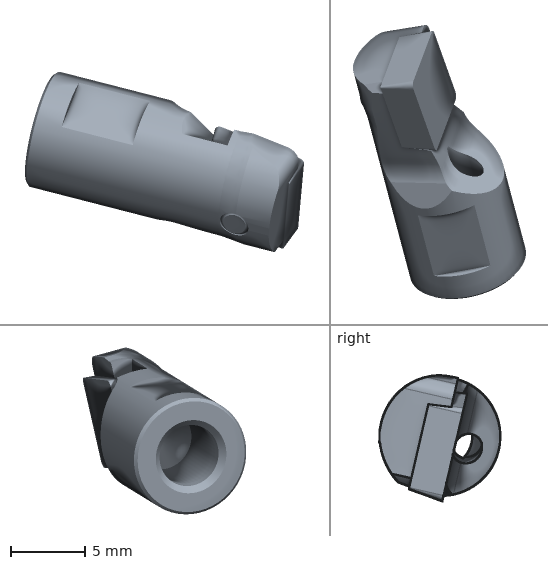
import cadquery as cq
import math

LENGTH = 18.0
FAR = 27.0

SHANK_R = 4.0
REAR_CHAMFER = 0.2
FLAT_START = 2.0
FLAT_LENGTH = 5.0
FLAT_HEIGHT = 3.5

BORE_R = 4.2 / 2
BORE_MOUTH_R = 5.02 / 2
BORE_DEPTH = 6.0
DRILL_POINT_ANGLE = 118.0
COOLANT_R = 2.0 / 2
COOLANT_START = (5.4, 1.76, -0.38)
COOLANT_LENGTH = 5.4
COOLANT_DROP_ANGLE = 8.0

HEAD_START = 13.68
HEAD_CONE_END = 14.89
HEAD_R = 4.12
HEAD_FLAT_TOP = 0.95
HEAD_FLAT_BOTTOM = (-4.14, 0.32)
HEAD_BELLY_MIDDLE = (-3.7, -1.84)
HEAD_BELLY_END = (-2.54, -3.4)

INSERT_LEAN = 13.0
INSERT_RELIEF = 7.0
INSERT_ANGLE = 80.0
INSCRIBED_DIA = 6.35
INSERT_THICKNESS = 2.38
INSERT_CORNER_R = 0.4
TIP_Y = 0.07
TIP_Z = -4.43

SCREW_R = 2.05 / 2
SCREW_CHAMFER = 0.23
SCREW_END_Y = -3.98

END_CLEARANCE = 0.07
FLANK_CLEARANCE = 0.09
NOSE_CHAMFER = 1.12
TOP_HEIGHT = 1.35
TOP_CORNER_R = 1.08

RAKE_RAMP_TOP = (5.04, 5.4)
RAKE_RAMP_END = (8.7, 0.63)
RAKE_ROUND_MIDDLE = (9.27, 0.16)
RAKE_FLOOR_START = (9.9, -0.05)
RAKE_FLOOR_DEPTH = -0.65
HEAD_FRONT_DEPTH = -0.83

FLANK_RAMP_BOTTOM = (5.58, -0.9)
FLANK_RAMP_END = (9.18, 0.94)
FLANK_ROUND_END_X = 10.8

NOTCH_FLOOR_TOP = (9.0, 8.77)
NOTCH_FLOOR_END = (11.79, 6.9)
NOTCH_FRONT_X = 13.2
NOTCH_SIDE_Y = -0.38

LEAN = math.radians(INSERT_LEAN)
EDGE_ANGLE = math.radians(90 - INSERT_ANGLE)
EDGE_SLOPE = math.tan(EDGE_ANGLE)
INSERT_SIDE = INSCRIBED_DIA / math.cos(EDGE_ANGLE)
INSERT_RUN = INSCRIBED_DIA
INSERT_RISE = INSERT_RUN * EDGE_SLOPE
INSERT_CENTRE = (-INSERT_RUN / 2, (INSERT_RISE + INSERT_SIDE) / 2)

RAKE = cq.Plane(
    origin=(LENGTH, TIP_Y, TIP_Z),
    xDir=(1, 0, 0),
    normal=(0, -math.cos(LEAN), math.sin(LEAN)),
)


def from_tip(point):
    """Turn (X, height) into coordinates of the rake plane."""
    x, height = point
    return (x - LENGTH, height)


def through_prism(profile):
    """Extrude a closed profile a long way to both sides of its plane."""
    return profile.extrude(FAR, both=True)



def insert_blank(corner_radius):
    """Tapered rhombus; the corner radius, if any, shrinks with the outline towards the back."""
    outline = cq.Sketch().polygon([
        (0, 0),
        (0, INSERT_SIDE),
        (-INSERT_RUN, INSERT_SIDE + INSERT_RISE),
        (-INSERT_RUN, INSERT_RISE),
        (0, 0),
    ])
    if corner_radius:
        outline = outline.vertices().fillet(corner_radius)
    return cq.Workplane(RAKE).placeSketch(outline).extrude(INSERT_THICKNESS, taper=INSERT_RELIEF)


def screw_cylinder(length):
    """Cylinder through the insert centre, square to the rake face."""
    return cq.Workplane(RAKE).center(*INSERT_CENTRE).circle(SCREW_R).extrude(length)


def make_insert():
    return insert_blank(INSERT_CORNER_R).cut(screw_cylinder(FAR))



def make_screw():
    start_y = RAKE.toWorldCoords(INSERT_CENTRE).y
    length = (start_y - SCREW_END_Y) / math.cos(LEAN)
    return screw_cylinder(length).faces("<Y").chamfer(SCREW_CHAMFER)



def turned_outside():
    """Shank with a rear chamfer, then a cone flaring out through the head."""
    flare = (HEAD_R - SHANK_R) / (HEAD_CONE_END - HEAD_START)
    return (
        cq.Workplane("XY")
        .moveTo(0, 0)
        .lineTo(0, SHANK_R - REAR_CHAMFER)
        .lineTo(REAR_CHAMFER, SHANK_R)
        .lineTo(HEAD_START, SHANK_R)
        .lineTo(LENGTH, SHANK_R + flare * (LENGTH - HEAD_START))
        .lineTo(LENGTH, 0)
        .close()
        .revolve(360, (0, 0, 0), (1, 0, 0))
    )


def head_section():
    """Prism that trims the cone: round top, small flat on the -Y side, fuller belly below it."""
    flat_top_y = -math.sqrt(HEAD_R ** 2 - HEAD_FLAT_TOP ** 2)
    diagonal = HEAD_R * math.sqrt(0.5)
    return (
        cq.Workplane("YZ")
        .moveTo(0, -HEAD_R)
        .threePointArc((HEAD_R, 0), (0, HEAD_R))
        .threePointArc((-diagonal, diagonal), (flat_top_y, HEAD_FLAT_TOP))
        .lineTo(*HEAD_FLAT_BOTTOM)
        .threePointArc(HEAD_BELLY_MIDDLE, HEAD_BELLY_END)
        .close()
        .extrude(LENGTH)
    )


def holder_outside():
    shank_section = cq.Workplane("YZ").circle(SHANK_R).extrude(HEAD_START)
    return turned_outside().intersect(head_section().union(shank_section))


def nose_envelope():
    """Prism bounding the head by its top face, rounded corner, end face and lower chamfer."""
    plane = RAKE.rotated((0, -INSERT_RELIEF, 0))
    corner_y = INSERT_SIDE + TOP_HEIGHT
    half_corner_angle = (math.pi / 2 + EDGE_ANGLE) / 2
    tangent = TOP_CORNER_R / math.tan(half_corner_angle)
    round_end = (-END_CLEARANCE - tangent * math.cos(EDGE_ANGLE),
                 corner_y + tangent * math.sin(EDGE_ANGLE))
    return through_prism(
        cq.Workplane(plane)
        .moveTo(-END_CLEARANCE, NOSE_CHAMFER)
        .lineTo(-END_CLEARANCE, corner_y - tangent)
        .tangentArcPoint(round_end, relative=False)
        .lineTo(-FAR, corner_y + (FAR - END_CLEARANCE) * EDGE_SLOPE)
        .lineTo(-FAR, NOSE_CHAMFER + END_CLEARANCE - FAR)
        .close()
    )


def wrench_flat(side):
    centre = (FLAT_START + FLAT_LENGTH / 2, 0, side * (FLAT_HEIGHT + FAR / 2))
    return cq.Workplane("XY").box(FLAT_LENGTH, FAR, FAR).translate(centre)


def rear_bore():
    point_length = BORE_R / math.tan(math.radians(DRILL_POINT_ANGLE / 2))
    return (
        cq.Workplane("XY")
        .polyline([
            (0, 0),
            (0, BORE_MOUTH_R),
            (BORE_MOUTH_R - BORE_R, BORE_R),
            (BORE_DEPTH, BORE_R),
            (BORE_DEPTH + point_length, 0),
        ])
        .close()
        .revolve(360, (0, 0, 0), (1, 0, 0))
    )


def coolant_hole():
    """Sloping hole from the bore into the chip space."""
    drop = math.radians(COOLANT_DROP_ANGLE)
    plane = cq.Plane(
        origin=COOLANT_START,
        xDir=(0, 1, 0),
        normal=(math.cos(drop), 0, -math.sin(drop)),
    )
    return cq.Workplane(plane).circle(COOLANT_R).extrude(COOLANT_LENGTH)


def rake_flute():
    """Chip space: a ramp, a round and a sloping floor, extruded along the lean of the insert."""
    plane = cq.Plane(
        origin=(0, TIP_Y, TIP_Z),
        xDir=(1, 0, 0),
        normal=(0, math.sin(LEAN), math.cos(LEAN)),
    )
    return through_prism(
        cq.Workplane(plane)
        .moveTo(*RAKE_RAMP_TOP)
        .lineTo(*RAKE_RAMP_END)
        .threePointArc(RAKE_ROUND_MIDDLE, RAKE_FLOOR_START)
        .lineTo(NOTCH_FRONT_X, RAKE_FLOOR_DEPTH)
        .lineTo(NOTCH_FRONT_X, HEAD_FRONT_DEPTH)
        .lineTo(FAR, HEAD_FRONT_DEPTH)
        .lineTo(FAR, RAKE_RAMP_TOP[1])
        .close()
    )


def flank_flute():
    """Clearance parallel to the lower insert flank, running out through a round and a ramp."""
    plane = RAKE.rotated((-INSERT_RELIEF, 0, 0))
    round_end_x = FLANK_ROUND_END_X - LENGTH
    ramp_bottom = from_tip(FLANK_RAMP_BOTTOM)
    return through_prism(
        cq.Workplane(plane)
        .moveTo(FAR, FLANK_CLEARANCE - FAR * EDGE_SLOPE)
        .lineTo(round_end_x, FLANK_CLEARANCE - round_end_x * EDGE_SLOPE)
        .tangentArcPoint(from_tip(FLANK_RAMP_END), relative=False)
        .lineTo(*ramp_bottom)
        .lineTo(ramp_bottom[0], -FAR)
        .lineTo(FAR, -FAR)
        .close()
    )


def top_notch():
    """Opening above the rear of the insert: a floor falling towards it and square walls."""
    slot = through_prism(
        cq.Workplane(RAKE)
        .polyline([
            from_tip(NOTCH_FLOOR_TOP),
            from_tip(NOTCH_FLOOR_END),
            from_tip((NOTCH_FRONT_X, NOTCH_FLOOR_END[1])),
            from_tip((NOTCH_FRONT_X, FAR)),
            from_tip((NOTCH_FLOOR_TOP[0], FAR)),
        ])
        .close()
    )
    beyond_side_wall = cq.Workplane("XY").box(FAR, FAR, FAR).translate(
        (FAR / 2, NOTCH_SIDE_Y + FAR / 2, 0))
    return slot.intersect(beyond_side_wall)


def make_holder():
    body = holder_outside().intersect(nose_envelope())
    for side in (1, -1):
        body = body.cut(wrench_flat(side))
    body = body.cut(rear_bore())
    body = body.cut(rake_flute())
    body = body.cut(flank_flute())
    body = body.cut(coolant_hole())
    body = body.cut(top_notch())
    body = body.cut(insert_blank(0))
    return body.cut(screw_cylinder(FAR))


holder = make_holder()
insert = make_insert()
screw = make_screw()
result = cq.Compound.makeCompound([holder.val(), insert.val(), screw.val()])